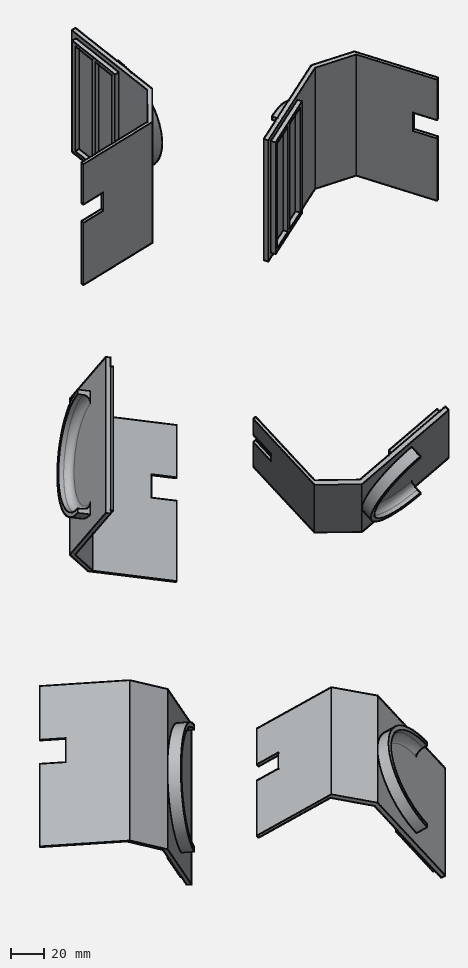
import cadquery as cq

height = 101.2
width = 91.3
plate_thickness = 3.0
leg_thickness = 2.0
sheet_depth = 74.0
outer_bend_x = 69.8
inner_bend_x = 68.7
outer_leg_y = -18.7
inner_leg_y = -20.8

frame_margin = 3.9
frame_width = 38.9
frame_thickness = 3.0
frame_border = 2.8
pocket_depth = 3.0
pocket_count = 2

cup_radius = 40.0
cup_wall = 2.9
cup_depth = 8.0
cup_fillet = 5.0
cup_center_x = outer_bend_x - cup_radius

notch_depth = 16.0
notch_height = 15.2
notch_bottom = 52.1


def make_sheet():
    """Back plate, slanted corner and leg as one constant section."""
    outline = [
        (0, 0),
        (outer_bend_x, 0),
        (width, outer_leg_y),
        (width, -sheet_depth),
        (width - leg_thickness, -sheet_depth),
        (width - leg_thickness, inner_leg_y),
        (inner_bend_x, -plate_thickness),
        (0, -plate_thickness),
    ]
    return cq.Workplane("XY").polyline(outline).close().extrude(height)


def make_frame():
    """Rectangular pad with equal side-by-side pockets."""
    frame_height = height - 2 * frame_margin
    front_y = -plate_thickness - frame_thickness
    frame = cq.Workplane("XY").box(
        frame_width, frame_thickness, frame_height, centered=False
    ).translate((frame_margin, front_y, frame_margin))
    pocket_width = (frame_width - (pocket_count + 1) * frame_border) / pocket_count
    pocket_height = frame_height - 2 * frame_border
    for index in range(pocket_count):
        pocket_x = frame_margin + frame_border + index * (pocket_width + frame_border)
        pocket = cq.Workplane("XY").box(
            pocket_width, pocket_depth, pocket_height, centered=False
        ).translate((pocket_x, front_y, frame_margin + frame_border))
        frame = frame.cut(pocket)
    return frame


def make_cup():
    """Half disc hollowed by a round cavity with a filleted floor edge."""
    cavity_radius = cup_radius - cup_wall
    section = (
        cq.Workplane("XY")
        .moveTo(cavity_radius - cup_fillet, 0)
        .lineTo(cup_radius, 0)
        .lineTo(cup_radius, cup_depth)
        .lineTo(cavity_radius, cup_depth)
        .lineTo(cavity_radius, cup_fillet)
        .radiusArc((cavity_radius - cup_fillet, 0), cup_fillet)
        .close()
    )
    ring = section.revolve(360, (0, 0, 0), (0, 1, 0))
    open_half = cq.Workplane("XY").box(
        cup_radius, cup_depth, 2 * cup_radius, centered=(False, False, True)
    )
    return ring.intersect(open_half).translate((cup_center_x, 0, height / 2))


def make_notch():
    """Rectangular cutter through the leg at its free edge."""
    return cq.Workplane("XY").box(
        leg_thickness, notch_depth, notch_height, centered=False
    ).translate((width - leg_thickness, -sheet_depth, notch_bottom))


result = make_sheet().union(make_frame()).union(make_cup()).cut(make_notch())